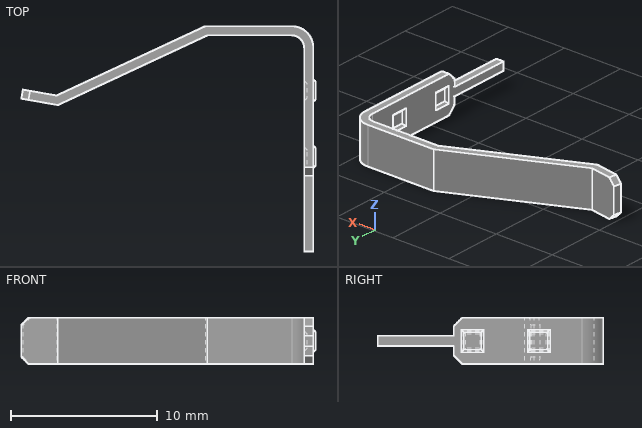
import cadquery as cq
import math

overall_x = 20.1
overall_y = 15.4
strip_width = 3.18
thickness = 0.65

corner_inner_radius = 0.85
corner_outer_radius = corner_inner_radius + thickness
arm_angle = 25.0
lip_angle = 10.0
arm_bend_x = 12.56
lip_bend_x = 2.41
lip_chamfer = 0.5

tail_length = 5.19
tail_width = 0.72
leg_chamfer = 0.58

recess_size = 1.37
recess_depth = 0.2
bump_size = 1.53
bump_height = 0.16
dimple_taper = 45.0
dimple_positions_y = (6.47, 11.0)

leg_outer_x = overall_x - bump_height
leg_inner_x = leg_outer_x - thickness


def inner_bend_point(outer_point, angle_before, angle_after):
    """Mitre an outer-face bend through the sheet to its lower face."""
    mean_angle = math.radians((angle_before + angle_after) / 2)
    half_turn = math.radians((angle_before - angle_after) / 2)
    mitre_length = thickness / math.cos(half_turn)
    x, y = outer_point
    return (x + mitre_length * math.sin(mean_angle), y - mitre_length * math.cos(mean_angle))


arm_drop = (arm_bend_x - lip_bend_x) * math.tan(math.radians(arm_angle))
arm_upper = (arm_bend_x, overall_y)
lip_upper = (lip_bend_x, overall_y - arm_drop)
arm_lower = inner_bend_point(arm_upper, arm_angle, 0)
lip_lower = inner_bend_point(lip_upper, arm_angle, -lip_angle)

lip_slope = math.radians(lip_angle)
tip_lower = (0, lip_lower[1] + lip_lower[0] * math.tan(lip_slope))
tip_upper = (
    tip_lower[0] + thickness * math.sin(lip_slope),
    tip_lower[1] + thickness * math.cos(lip_slope),
)


def bent_strip():
    """Full-width bent sheet with a rounded main corner."""
    profile = [
        (leg_outer_x, 0),
        (leg_outer_x, overall_y),
        arm_upper,
        lip_upper,
        tip_upper,
        tip_lower,
        lip_lower,
        arm_lower,
        (leg_inner_x, overall_y - thickness),
        (leg_inner_x, 0),
    ]
    strip = cq.Workplane("XY").polyline(profile).close().extrude(strip_width / 2, both=True)
    outer_corner = cq.selectors.NearestToPointSelector((leg_outer_x, overall_y, 0))
    inner_corner = cq.selectors.NearestToPointSelector((leg_inner_x, overall_y - thickness, 0))
    strip = strip.edges(outer_corner).fillet(corner_outer_radius)
    return strip.edges(inner_corner).fillet(corner_inner_radius)


def chamfer_lip(strip):
    """Cut the two corners of the lip end, square through the sheet."""
    tip_center = ((tip_lower[0] + tip_upper[0]) / 2, (tip_lower[1] + tip_upper[1]) / 2)
    for side in (-1, 1):
        corner = (*tip_center, side * strip_width / 2)
        strip = strip.edges(cq.selectors.NearestToPointSelector(corner)).chamfer(lip_chamfer)
    return strip


def tail_clearance(side):
    """Waste beside the tail, including the corner cut of the leg."""
    edge = strip_width / 2
    outline = [
        (0, side * tail_width / 2),
        (tail_length, side * tail_width / 2),
        (tail_length, side * (edge - leg_chamfer)),
        (tail_length + leg_chamfer, side * edge),
        (0, side * edge),
    ]
    return (
        cq.Workplane("YZ", origin=(leg_inner_x, 0, 0))
        .polyline(outline)
        .close()
        .extrude(thickness)
    )


def dimple(face_x, y, size, height):
    """Tapered square block rising toward +X from the given face."""
    return (
        cq.Workplane("YZ", origin=(face_x, y, 0))
        .rect(size, size)
        .extrude(height, taper=dimple_taper)
    )


result = chamfer_lip(bent_strip())
for side in (-1, 1):
    result = result.cut(tail_clearance(side))
for dimple_y in dimple_positions_y:
    result = result.cut(dimple(leg_inner_x, dimple_y, recess_size, recess_depth))
    result = result.union(dimple(leg_outer_x, dimple_y, bump_size, bump_height))